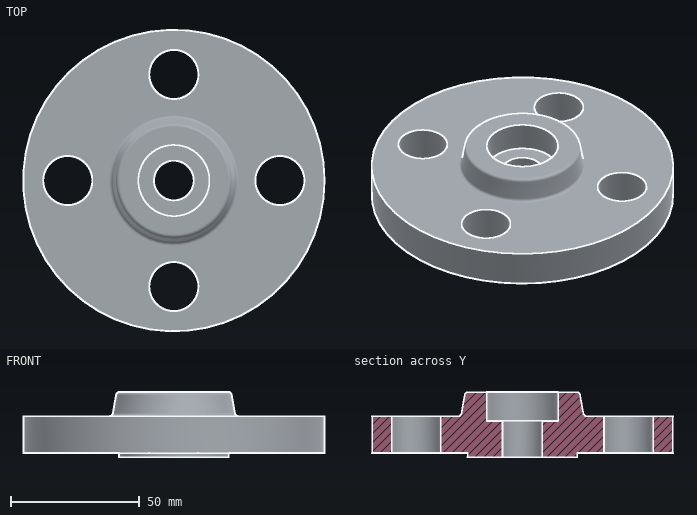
import cadquery as cq
import math

flange_diameter = 117.3
flange_thickness = 14.3

raised_face_diameter = 42.8
raised_face_height = 1.6

total_height = 25.5
hub_base_diameter = 48.0
hub_taper_angle = 10.0
hub_fillet_radius = 1.5

socket_diameter = 27.7
socket_depth = 11.3
bore_diameter = 15.4

bolt_hole_count = 4
bolt_hole_diameter = 19.0
bolt_circle_diameter = 82.5

flange_bottom = raised_face_height
flange_top = flange_bottom + flange_thickness
hub_height = total_height - flange_top
hub_top_diameter = hub_base_diameter - 2 * hub_height * math.tan(math.radians(hub_taper_angle))


def make_body():
    """Raised face, disc and hub revolved about Z, with the hub's top and root edges rounded."""
    body = (
        cq.Workplane("XZ")
        .moveTo(0, 0)
        .lineTo(raised_face_diameter / 2, 0)
        .lineTo(raised_face_diameter / 2, flange_bottom)
        .lineTo(flange_diameter / 2, flange_bottom)
        .lineTo(flange_diameter / 2, flange_top)
        .lineTo(hub_base_diameter / 2, flange_top)
        .lineTo(hub_top_diameter / 2, total_height)
        .lineTo(0, total_height)
        .close()
        .revolve(360, (0, 0, 0), (0, 1, 0))
    )
    body = body.faces(">Z").edges().fillet(hub_fillet_radius)
    disc_top_face = cq.selectors.NearestToPointSelector((0, 0, flange_top))
    innermost_edge = cq.selectors.RadiusNthSelector(0)
    return body.faces("|Z").faces(disc_top_face).edges(innermost_edge).fillet(hub_fillet_radius)


def cylinder_up(diameter, bottom, top):
    """Vertical cylinder on the Z axis between two levels."""
    return cq.Workplane("XY").workplane(offset=bottom).circle(diameter / 2).extrude(top - bottom)


def make_bolt_holes():
    """Cutters for the bolt holes, evenly spaced on the bolt circle."""
    return (
        cq.Workplane("XY")
        .polarArray(bolt_circle_diameter / 2, 0, 360, bolt_hole_count)
        .circle(bolt_hole_diameter / 2)
        .extrude(total_height)
    )


bore = cylinder_up(bore_diameter, 0, total_height)
socket = cylinder_up(socket_diameter, total_height - socket_depth, total_height)

result = make_body().cut(bore).cut(socket).cut(make_bolt_holes())